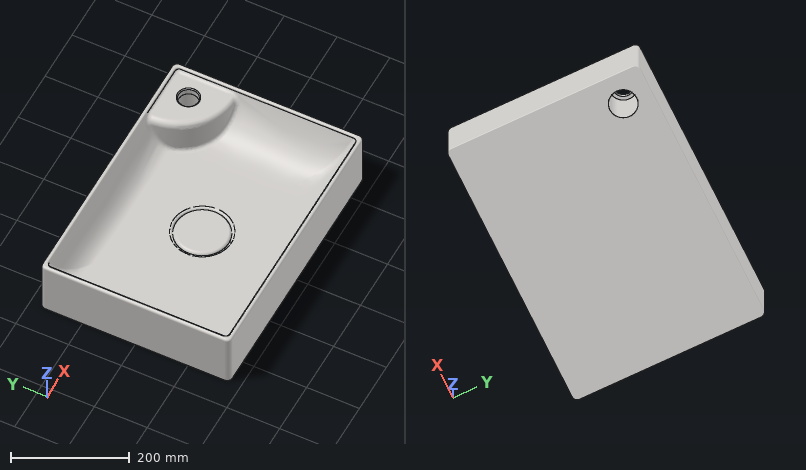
import cadquery as cq

length = 500.0
width = 360.0
height = 110.0
corner_radius = 10.0
bottom_edge_radius = 1.5

rim_width = 9.0
rim_outer_radius = 5.0
rim_inner_radius = 3.5
opening_length = length - 2 * rim_width
opening_width = width - 2 * rim_width
opening_corner_radius = 7.5

floor_height = 29.0
collar_height = 4.0
dish_top = height - collar_height
dish_exponent = 5.5
dish_steps = 8
dish_floor_size = 105.0
dish_floor_corner_radius = 50.0

drain_mouth_radius = 55.0
drain_cap_radius = 50.0
drain_cap_fillet = 7.5
drain_cap_top = floor_height + 1.5
drain_cap_overlap = 5.0
drain_groove_bottom = drain_cap_top - drain_cap_fillet
drain_cap_base = drain_groove_bottom - drain_cap_overlap
drain_mouth_fillet = drain_mouth_radius - drain_cap_radius
drain_clearance = 5.0

deck_height = 101.0
deck_radius = 110.0
deck_inset = 16.0
deck_center = (length / 2 - deck_inset, width / 2 - deck_inset)
deck_edge_fillet = 14.0
deck_foot_fillet = 8.0

tap_hole_inset = 53.5
tap_hole_center = (length / 2 - tap_hole_inset, width / 2 - tap_hole_inset)
tap_hole_radius = 18.5
tap_hole_chamfer = 2.0
tap_hole_depth = 13.5
nut_bore_radius = 25.0


def between(start, end, fraction):
    return start + (end - start) * fraction


def make_block():
    block = cq.Workplane("XY").box(length, width, height, centered=(True, True, False))
    block = block.edges("|Z").fillet(corner_radius)
    block = block.faces("<Z").edges().fillet(bottom_edge_radius)
    return block.faces(">Z").edges().fillet(rim_outer_radius)


def dish_section(spread):
    """Rounded rectangle that grows from the near-round floor (spread 0) to the opening (spread 1)."""
    level = between(floor_height, dish_top, spread**dish_exponent)
    section = cq.Sketch().rect(
        between(dish_floor_size, opening_length, spread),
        between(dish_floor_size, opening_width, spread),
    )
    section = section.vertices().fillet(between(dish_floor_corner_radius, opening_corner_radius, spread))
    return section.moved(cq.Location(cq.Vector(0, 0, level)))


def make_bowl():
    sections = [dish_section(step / dish_steps) for step in range(dish_steps + 1)]
    dish = cq.Workplane("XY").placeSketch(*sections).loft()
    collar = cq.Workplane("XY", origin=(0, 0, dish_top)).rect(opening_length, opening_width)
    collar = collar.extrude(collar_height).edges("|Z").fillet(opening_corner_radius)
    return dish.union(collar)


def make_drain_recess():
    """Round recess in the bowl floor with a rounded mouth."""
    return (
        cq.Workplane("XZ")
        .moveTo(0, drain_groove_bottom)
        .lineTo(drain_cap_radius, drain_groove_bottom)
        .lineTo(drain_cap_radius, floor_height - drain_mouth_fillet)
        .radiusArc((drain_mouth_radius, floor_height), drain_mouth_fillet)
        .lineTo(drain_mouth_radius, floor_height + drain_clearance)
        .lineTo(0, floor_height + drain_clearance)
        .close()
        .revolve()
    )


def make_drain_cap():
    """Cap whose rounded edge leaves a groove inside the drain mouth."""
    cap = cq.Workplane("XY", origin=(0, 0, drain_cap_base)).circle(drain_cap_radius)
    cap = cap.extrude(drain_cap_top - drain_cap_base)
    return cap.faces(">Z").edges().fillet(drain_cap_fillet)


def make_deck():
    deck = cq.Workplane("XY").center(*deck_center).circle(deck_radius).extrude(deck_height)
    deck = deck.faces(">Z").edges().fillet(deck_edge_fillet)
    inside = cq.Workplane("XY", origin=(0, 0, bottom_edge_radius))
    inside = inside.rect(length - rim_width, width - rim_width).extrude(height)
    return deck.intersect(inside)


def make_tap_hole():
    """Chamfered hole through the deck that widens below into a nut bore."""
    bore_top = deck_height - tap_hole_depth
    nut_bore = cq.Workplane("XY").center(*tap_hole_center).circle(nut_bore_radius).extrude(bore_top)
    hole = cq.Workplane("XY").center(*tap_hole_center).circle(tap_hole_radius).extrude(deck_height)
    countersink = (
        cq.Workplane("XY", origin=(*tap_hole_center, deck_height))
        .circle(tap_hole_radius + tap_hole_chamfer)
        .extrude(-tap_hole_chamfer, taper=45)
    )
    return nut_bore.union(hole).union(countersink)


def round_inner_rim(basin):
    reach_x = (length - rim_width) / 2
    reach_y = (width - rim_width) / 2
    opening = cq.selectors.BoxSelector(
        (-reach_x, -reach_y, dish_top),
        (reach_x, reach_y, height + collar_height),
    )
    return basin.faces(">Z").edges(opening).fillet(rim_inner_radius)


def blend_deck_into_bowl(basin):
    """Round the foot of the deck; the fillet follows the joint up the walls and around the shelf."""
    center_x, center_y = deck_center
    foot = cq.selectors.BoxSelector(
        (center_x - deck_radius, center_y - deck_radius, 0),
        (center_x, center_y, deck_height - deck_edge_fillet),
    )
    return basin.edges(foot).fillet(deck_foot_fillet)


basin = make_block().cut(make_bowl())
basin = basin.cut(make_drain_recess()).union(make_drain_cap())
basin = basin.union(make_deck())
basin = round_inner_rim(basin)
basin = blend_deck_into_bowl(basin)
result = basin.cut(make_tap_hole())